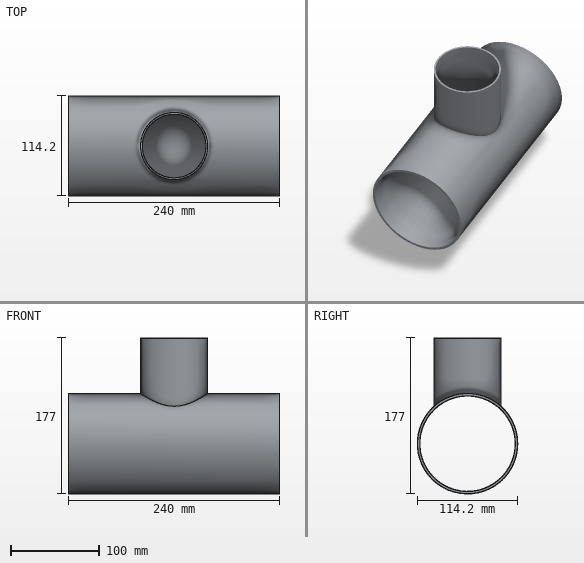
import cadquery as cq

run_length = 240.0
run_outer_diameter = 114.2
run_bore_diameter = 108.2

branch_outer_diameter = 76.3
branch_bore_diameter = 72.2
overall_height = 177.0
branch_top = overall_height - run_outer_diameter / 2


def run_cylinder(diameter):
    """Full-length cylinder along the run axis."""
    return cq.Workplane("YZ").circle(diameter / 2).extrude(run_length / 2, both=True)


def branch_cylinder(diameter):
    """Cylinder from the run axis up to the open end of the branch."""
    return cq.Workplane("XY").circle(diameter / 2).extrude(branch_top)


outer_body = run_cylinder(run_outer_diameter).union(branch_cylinder(branch_outer_diameter))

result = outer_body.cut(run_cylinder(run_bore_diameter)).cut(branch_cylinder(branch_bore_diameter))